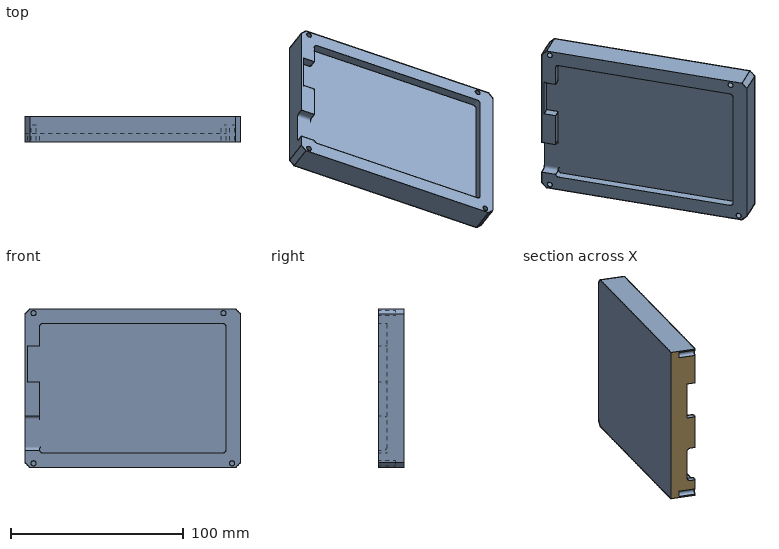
import cadquery as cq

length = 125.0
thickness = 15.0
height = 92.0
corner_chamfer = 3.0

pocket_depth = 5.0
frame_width = 8.5
pocket_corner_radius = 2.0

recess_wall = 1.5
recess_bottom = 49.5
recess_height = 21.0

slot_bottom = 10.0
slot_height = 20.0
slot_edge_radius = 2.0

hole_diameter = 3.0
hole_depth = 10.0
hole_end_offset = 5.0
hole_edge_offset = 2.5
upper_right_hole_offset = 10.0


def front_block(left, right, bottom, top, depth):
    """Box that reaches from the front face to the given depth."""
    block = cq.Workplane("XY").box(right - left, depth, top - bottom, centered=False)
    return block.translate((left, 0, bottom))


def make_plate():
    plate = front_block(0, length, 0, height, thickness)
    return plate.edges("|Y").chamfer(corner_chamfer)


def make_pocket():
    right = length - frame_width
    top = height - frame_width
    pocket = front_block(frame_width, right, frame_width, top, pocket_depth)
    return pocket.edges("|Y").fillet(pocket_corner_radius)


def make_recess():
    recess_right = frame_width + pocket_corner_radius
    return front_block(recess_wall, recess_right, recess_bottom, recess_bottom + recess_height, pocket_depth)


def make_slot():
    slot_right = frame_width + pocket_corner_radius
    return front_block(0, slot_right, slot_bottom, slot_bottom + slot_height, pocket_depth)


def round_slot_floor_edges(part):
    for edge_height in (slot_bottom, slot_bottom + slot_height):
        edge_middle = (frame_width / 2, pocket_depth, edge_height)
        part = part.edges(cq.selectors.NearestToPointSelector(edge_middle)).fillet(slot_edge_radius)
    return part


def make_holes():
    low = hole_edge_offset
    high = height - hole_edge_offset
    centers = [
        (hole_end_offset, low),
        (length - hole_end_offset, low),
        (hole_end_offset, high),
        (length - upper_right_hole_offset, high),
    ]
    return cq.Workplane("XZ").pushPoints(centers).circle(hole_diameter / 2).extrude(-hole_depth)


result = make_plate()
for cutter in (make_pocket(), make_recess(), make_slot(), make_holes()):
    result = result.cut(cutter)
result = round_slot_floor_edges(result)